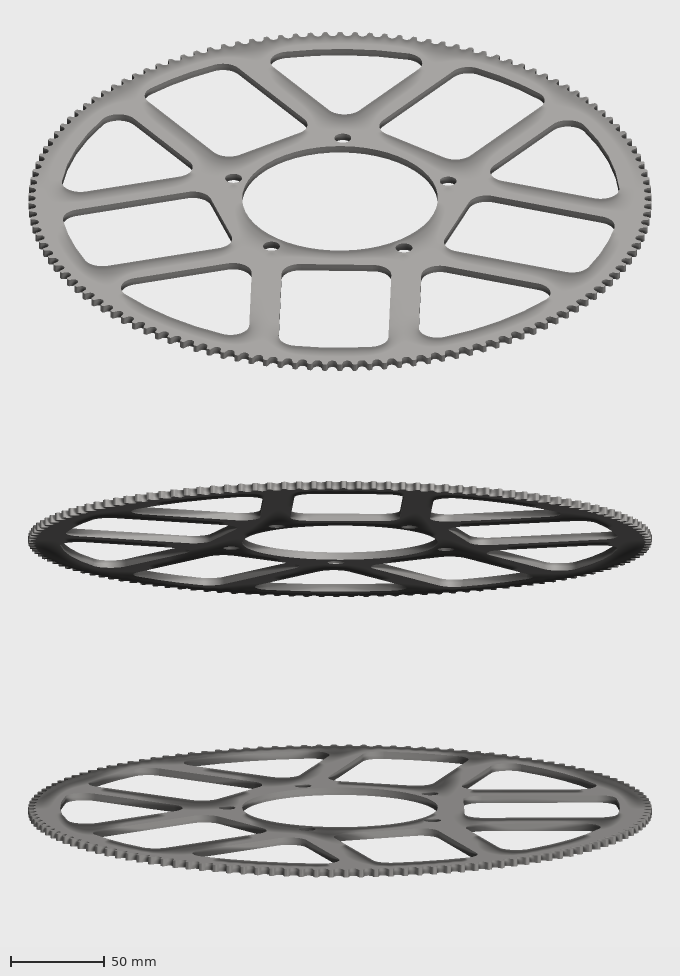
import cadquery as cq
import math

thickness = 4.0
tip_radius = 167.2
bore_radius = 52.5

tooth_count = 130
pitch_radius = 165.5
roller_seat_radius = 2.5
flank_angle = 15.0
tip_corner_radius = 1.0

arm_count = 5
bolt_circle_radius = 60.5
bolt_hole_diameter = 9.0

rim_inner_radius = 150.0
hub_flat_distance = 66.5
straight_window_half_width = 29.5
spoke_width = 16.0
window_corner_radius = 10.0

arm_step = 360.0 / arm_count
first_straight_window = -90.0
first_wedge_window = first_straight_window + arm_step / 2


def from_point(point, distance, angle):
    """Point at a distance and direction (radians) from another point."""
    return (point[0] + distance * math.cos(angle), point[1] + distance * math.sin(angle))


def turned(point, angle):
    """Point turned about the part's centre by an angle in radians."""
    x, y = point
    return (x * math.cos(angle) - y * math.sin(angle), x * math.sin(angle) + y * math.cos(angle))


def mirrored(point):
    """Point on the other side of the X axis."""
    return (point[0], -point[1])


def toothed_disc():
    """Disc whose edge alternates round roller seats, straight flanks and round-cornered tips."""
    tooth_step = 2 * math.pi / tooth_count
    flank = math.radians(flank_angle)
    into_tooth = flank + math.pi / 2
    out_of_tooth = flank - math.pi / 2

    seat_centre = (pitch_radius, 0)
    seat_bottom = (pitch_radius - roller_seat_radius, 0)
    seat_end = from_point(seat_centre, roller_seat_radius, into_tooth)

    corner_start = from_point(seat_centre, roller_seat_radius + tip_corner_radius, into_tooth)
    corner_circle_radius = tip_radius - tip_corner_radius
    start_along_flank = corner_start[0] * math.cos(flank) + corner_start[1] * math.sin(flank)
    start_off_flank = corner_start[1] * math.cos(flank) - corner_start[0] * math.sin(flank)
    flank_length = math.sqrt(corner_circle_radius**2 - start_off_flank**2) - start_along_flank
    corner_centre = from_point(corner_start, flank_length, flank)

    corner_angle = math.atan2(corner_centre[1], corner_centre[0])
    flank_end = from_point(corner_centre, tip_corner_radius, out_of_tooth)
    corner_middle = from_point(corner_centre, tip_corner_radius, (out_of_tooth + corner_angle) / 2)
    corner_end = from_point(corner_centre, tip_corner_radius, corner_angle)

    outline = cq.Workplane("XY").moveTo(*turned(mirrored(corner_end), tooth_step / 2))
    for tooth in range(tooth_count):
        gap = (tooth + 0.5) * tooth_step
        tip_middle = turned((tip_radius, 0), gap + tooth_step / 2)
        next_corner = turned(mirrored(corner_end), gap + tooth_step)
        outline = (
            outline.threePointArc(turned(mirrored(corner_middle), gap), turned(mirrored(flank_end), gap))
            .lineTo(*turned(mirrored(seat_end), gap))
            .threePointArc(turned(seat_bottom, gap), turned(seat_end, gap))
            .lineTo(*turned(flank_end, gap))
            .threePointArc(turned(corner_middle, gap), turned(corner_end, gap))
            .threePointArc(tip_middle, next_corner)
        )
    return outline.close().extrude(thickness)


def rounded_window(profile):
    """Window cutter: a prism limited by the rim circle, with every corner rounded."""
    rim = cq.Workplane("XY").circle(rim_inner_radius).extrude(thickness)
    return profile.extrude(thickness).intersect(rim).edges("|Z").fillet(window_corner_radius)


def straight_window():
    """Window along +X with parallel sides and a flat end at the hub."""
    length = tip_radius - hub_flat_distance
    profile = cq.Workplane("XY").center(hub_flat_distance + length / 2, 0)
    return rounded_window(profile.rect(length, 2 * straight_window_half_width))


def wedge_window():
    """Window along +X whose two sides run parallel to the neighbouring straight windows."""
    half_angle = math.radians(arm_step / 2)
    apex = (straight_window_half_width + spoke_width) / math.sin(half_angle)
    half_width = (tip_radius - apex) * math.tan(half_angle)
    profile = cq.Workplane("XY").polyline([(apex, 0), (tip_radius, half_width), (tip_radius, -half_width)])
    return rounded_window(profile.close())


def around_centre(body, first_angle):
    """Copies of a body at every arm, starting at the given angle in degrees."""
    return [
        body.rotate((0, 0, 0), (0, 0, 1), first_angle + arm * arm_step)
        for arm in range(arm_count)
    ]


bore = cq.Workplane("XY").circle(bore_radius).extrude(thickness)
bolt_hole = cq.Workplane("XY").center(bolt_circle_radius, 0).circle(bolt_hole_diameter / 2).extrude(thickness)

cutters = [bore]
cutters += around_centre(bolt_hole, first_wedge_window)
cutters += around_centre(straight_window(), first_straight_window)
cutters += around_centre(wedge_window(), first_wedge_window)

result = toothed_disc()
for cutter in cutters:
    result = result.cut(cutter)